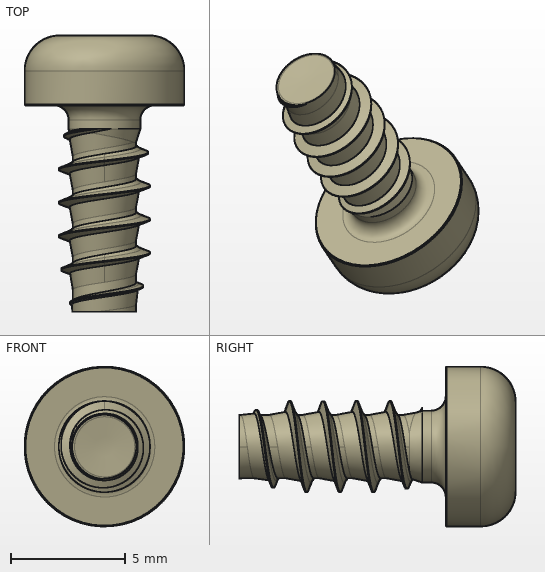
import cadquery as cq
import math


TOTAL_LENGTH = 12.09
HEAD_HEIGHT = 3.07
HEAD_DIAMETER = 7.0
HEAD_RADIUS = HEAD_DIAMETER / 2
HEAD_ROUND = 1.55
HEAD_EDGE_CHAMFER = 0.05

SHANK_LENGTH = TOTAL_LENGTH - HEAD_HEIGHT
NECK_DIAMETER = 3.15
NECK_RADIUS = NECK_DIAMETER / 2
NECK_FILLET = 0.62
NECK_LENGTH = 1.02
NECK_TAPER_LENGTH = 0.58
CORE_RADIUS = 1.39

HOLLOW_RADIUS = 1.32
HOLLOW_DEPTH = 0.08

PITCH = 1.46
THREAD_RADIUS = 2.0
CREST_HALF_WIDTH = 0.02
THREAD_START = 0.59
RUN_IN_TURNS = 1.25
FULL_TURNS = 3.0
RUN_OUT_TURNS = 1.5

RUN_IN_RADIUS = 1.63
FADED_RADIUS = CORE_RADIUS + 0.02
SUNK_RADIUS = CORE_RADIUS - 0.01
BURIED_RADIUS = 1.27
RAMP_TOP_RADIUS = 1.52
RAMP_END = 0.97

RUN_IN_SECTION = [
    (-0.18, BURIED_RADIUS),
    (-0.17, 1.44),
    (-0.12, 1.5),
    (-CREST_HALF_WIDTH, RUN_IN_RADIUS),
    (CREST_HALF_WIDTH, RUN_IN_RADIUS),
    (0.12, RAMP_TOP_RADIUS),
    (RAMP_END, SUNK_RADIUS),
    (RAMP_END, BURIED_RADIUS),
]
FULL_SECTION = [
    (-0.33, BURIED_RADIUS),
    (-0.31, CORE_RADIUS),
    (-0.18, 1.57),
    (-CREST_HALF_WIDTH, THREAD_RADIUS),
    (CREST_HALF_WIDTH, THREAD_RADIUS),
    (0.19, RAMP_TOP_RADIUS),
    (RAMP_END, SUNK_RADIUS),
    (RAMP_END, BURIED_RADIUS),
]
RUN_OUT_SECTION = [
    (-0.08, BURIED_RADIUS),
    (-0.07, SUNK_RADIUS - 0.02),
    (-0.05, SUNK_RADIUS),
    (-CREST_HALF_WIDTH, FADED_RADIUS),
    (CREST_HALF_WIDTH, FADED_RADIUS),
    (CREST_HALF_WIDTH + 0.02, FADED_RADIUS),
    (RAMP_END, SUNK_RADIUS - 0.02),
    (RAMP_END, BURIED_RADIUS),
]


def make_blank():
    """Head, neck and core turned as one body."""
    round_sagitta = HEAD_ROUND * (1 - math.sqrt(0.5))
    fillet_sagitta = NECK_FILLET * (1 - math.sqrt(0.5))
    return (
        cq.Workplane("XZ")
        .moveTo(0, -HEAD_HEIGHT)
        .lineTo(HEAD_RADIUS - HEAD_ROUND, -HEAD_HEIGHT)
        .threePointArc(
            (HEAD_RADIUS - round_sagitta, -HEAD_HEIGHT + round_sagitta),
            (HEAD_RADIUS, -HEAD_HEIGHT + HEAD_ROUND),
        )
        .lineTo(HEAD_RADIUS, -HEAD_EDGE_CHAMFER)
        .lineTo(HEAD_RADIUS - HEAD_EDGE_CHAMFER, 0)
        .lineTo(NECK_RADIUS + NECK_FILLET, 0)
        .threePointArc(
            (NECK_RADIUS + fillet_sagitta, fillet_sagitta),
            (NECK_RADIUS, NECK_FILLET),
        )
        .lineTo(NECK_RADIUS, NECK_LENGTH)
        .lineTo(CORE_RADIUS, NECK_LENGTH + NECK_TAPER_LENGTH)
        .lineTo(CORE_RADIUS, SHANK_LENGTH)
        .lineTo(0, SHANK_LENGTH)
        .close()
        .revolve(360, (0, 0), (0, 1))
    )


def make_helix(start, end, turns):
    """Helix edge between two (height, radius) points, straight or on a cone, starting above +X."""
    start_height, start_radius = start
    rise = end[0] - start_height
    growth = end[1] - start_radius
    base = cq.Vector(0, 0, start_height)
    if growth == 0:
        wire = cq.Wire.makeHelix(rise / turns, rise, start_radius, base)
    else:
        slant = math.hypot(rise, growth)
        cone_angle = math.degrees(math.atan2(growth, rise))
        wire = cq.Wire.makeHelix(slant / turns, slant, start_radius, base, angle=cone_angle)
    return wire.Edges()[0]


def make_thread_stretch(start_section, end_section, start_turn, turns):
    """Solid stretch of thread whose section changes evenly along the helix."""
    rise = turns * PITCH
    helices = [
        make_helix(start, (rise + end[0], end[1]), turns)
        for start, end in zip(start_section, end_section)
    ]
    neighbours = helices[1:] + helices[:1]
    faces = [cq.Face.makeRuledSurface(*pair) for pair in zip(helices, neighbours)]
    start_corners = [helix.startPoint() for helix in helices]
    end_corners = [helix.endPoint() for helix in helices]
    for corners in (start_corners, end_corners):
        outline = cq.Wire.makePolygon(corners, close=True)
        faces.append(cq.Face.makeFromWires(outline))
    stretch = cq.Solid.makeSolid(cq.Shell.makeShell(faces)).fix()
    return (
        cq.Workplane(stretch)
        .rotate((0, 0, 0), (0, 0, 1), 360 * start_turn)
        .translate((0, 0, THREAD_START + PITCH * start_turn))
    )


def make_threaded_zone():
    """Cylinder around the part of the shank that may carry thread."""
    return (
        cq.Workplane("XY", origin=(0, 0, NECK_LENGTH))
        .circle(HEAD_RADIUS)
        .extrude(SHANK_LENGTH - NECK_LENGTH)
    )


def make_tip_hollow():
    """Shallow cone that narrows from the tip face into the core."""
    cone = cq.Solid.makeCone(0, HOLLOW_RADIUS, HOLLOW_DEPTH)
    return cq.Workplane(cone).translate((0, 0, SHANK_LENGTH - HOLLOW_DEPTH))


run_out_start = RUN_IN_TURNS + FULL_TURNS
threaded_zone = make_threaded_zone()
run_in = make_thread_stretch(RUN_IN_SECTION, FULL_SECTION, 0, RUN_IN_TURNS)
full_thread = make_thread_stretch(FULL_SECTION, FULL_SECTION, RUN_IN_TURNS, FULL_TURNS)
run_out = make_thread_stretch(FULL_SECTION, RUN_OUT_SECTION, run_out_start, RUN_OUT_TURNS)

screw = make_blank()
screw = screw.union(run_in.intersect(threaded_zone))
screw = screw.union(full_thread)
screw = screw.union(run_out.intersect(threaded_zone))
screw = screw.cut(make_tip_hollow())

result = screw.rotate((0, 0, 0), (1, 0, 0), 90).solids()